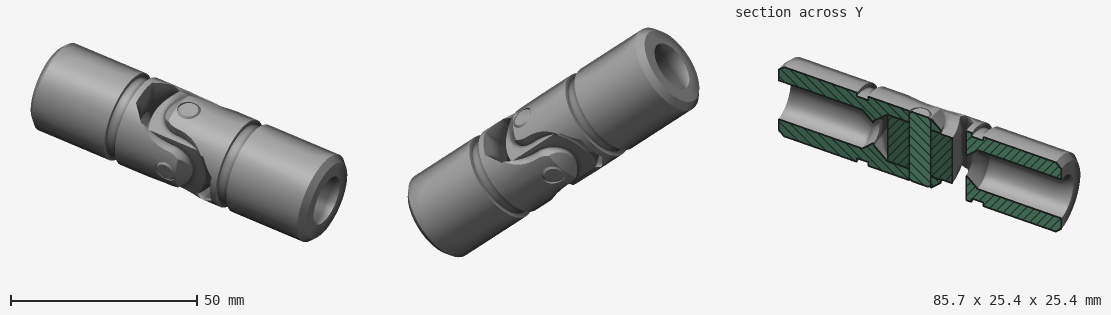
import cadquery as cq
import math

length = 85.7
outer_dia = 25.4
outer_radius = outer_dia / 2
half_length = length / 2

end_chamfer = 1.7
groove_dia = 22.7
groove_start = 15.7
groove_width = 3.35
bore_dia = 14.0
bore_mouth_dia = 6.95

slot_floor = 14.0
slot_floor_half = 4.4
arm_radius = outer_radius / 2
flank_radius = 15.0
tip_chamfer = 3.1

block_side = 16.6
block_half = block_side / 2
block_length = 19.55
block_chamfer_angle = 30.0

pin_dia = 6.35
pin_chamfer = 0.7

AXIS_START = (0, 0, 0)
AXIS_END = (1, 0, 0)


def revolve_about_x(profile):
    return profile.revolve(360, AXIS_START, AXIS_END)


def cylinder_z(diameter, height):
    return cq.Workplane("XY").circle(diameter / 2).extrude(height / 2, both=True)


def make_yoke_blank():
    """Turned bar with a grooved shank, ending in a bevelled tip past the joint centre."""
    groove_end = groove_start + groove_width
    groove_radius = groove_dia / 2
    return revolve_about_x(
        cq.Workplane("XY")
        .moveTo(-half_length, 0)
        .lineTo(-half_length, outer_radius - end_chamfer)
        .lineTo(-half_length + end_chamfer, outer_radius)
        .lineTo(-groove_end, outer_radius)
        .lineTo(-groove_end, groove_radius)
        .lineTo(-groove_start, groove_radius)
        .lineTo(-groove_start, outer_radius)
        .lineTo(arm_radius - tip_chamfer, outer_radius)
        .lineTo(arm_radius, outer_radius - tip_chamfer)
        .lineTo(arm_radius, 0)
        .close()
    )


def make_bore():
    """Shaft bore with a 45 degree conical bottom that opens into the slot."""
    bore_radius = bore_dia / 2
    mouth_radius = bore_mouth_dia / 2
    cone_length = bore_radius - mouth_radius
    return revolve_about_x(
        cq.Workplane("XY")
        .moveTo(-half_length, 0)
        .lineTo(-half_length, bore_radius)
        .lineTo(-slot_floor - cone_length, bore_radius)
        .lineTo(-slot_floor, mouth_radius)
        .lineTo(-slot_floor, 0)
        .close()
    )


def make_slot():
    """Gap between the fork arms, narrowing at 45 degrees to its floor."""
    taper_end = -slot_floor + block_half - slot_floor_half
    return (
        cq.Workplane("XY")
        .moveTo(-slot_floor, -slot_floor_half)
        .lineTo(taper_end, -block_half)
        .lineTo(outer_radius, -block_half)
        .lineTo(outer_radius, block_half)
        .lineTo(taper_end, block_half)
        .lineTo(-slot_floor, slot_floor_half)
        .close()
        .extrude(outer_dia, both=True)
    )


def make_arm_outline():
    """Side shape kept by the fork: a round tip flowing into concave flanks."""
    flank_rise = outer_radius - arm_radius
    flank_length = math.sqrt(flank_radius**2 - (flank_radius - flank_rise)**2)
    mid_angle = math.asin(flank_length / flank_radius) / 2
    mid_x = -flank_radius * math.sin(mid_angle)
    mid_z = arm_radius + flank_radius * (1 - math.cos(mid_angle))
    return (
        cq.Workplane("XZ")
        .moveTo(-half_length, -outer_dia)
        .lineTo(-flank_length, -outer_dia)
        .lineTo(-flank_length, -outer_radius)
        .threePointArc((mid_x, -mid_z), (0, -arm_radius))
        .threePointArc((arm_radius, 0), (0, arm_radius))
        .threePointArc((mid_x, mid_z), (-flank_length, outer_radius))
        .lineTo(-flank_length, outer_dia)
        .lineTo(-half_length, outer_dia)
        .close()
        .extrude(outer_dia, both=True)
    )


def make_yoke():
    """Yoke on the -X side, with its fork arms on +Y and -Y."""
    pin_hole = cylinder_z(pin_dia, outer_dia).rotate(AXIS_START, AXIS_END, 90)
    return (
        make_yoke_blank()
        .intersect(make_arm_outline())
        .cut(make_slot())
        .cut(make_bore())
        .cut(pin_hole)
    )


def make_cross():
    """Two pins crossing at right angles, joined as one solid."""
    pin = cylinder_z(pin_dia, outer_dia).faces("<Z or >Z").chamfer(pin_chamfer)
    return pin.union(pin.rotate(AXIS_START, AXIS_END, 90))


def make_block(cross):
    """Square block with cone-turned end corners, bored for the cross."""
    corner_radius = block_half * math.sqrt(2)
    corner_setback = (corner_radius - block_half) * math.tan(math.radians(block_chamfer_angle))
    end_x = block_length / 2
    turned_envelope = revolve_about_x(
        cq.Workplane("XY")
        .moveTo(-end_x, 0)
        .lineTo(-end_x, block_half)
        .lineTo(-end_x + corner_setback, corner_radius)
        .lineTo(end_x - corner_setback, corner_radius)
        .lineTo(end_x, block_half)
        .lineTo(end_x, 0)
        .close()
    )
    bar = cq.Workplane("XY").box(block_length, block_side, block_side)
    return bar.intersect(turned_envelope).cut(cross)


yokes = []
for turn_about_z, turn_about_x in [(0, 0), (180, 90)]:
    yoke = make_yoke().rotate(AXIS_START, (0, 0, 1), turn_about_z)
    yokes.append(yoke.rotate(AXIS_START, AXIS_END, turn_about_x))

cross = make_cross()
block = make_block(cross)

result = cq.Compound.makeCompound([
    *[yoke.solids().val() for yoke in yokes],
    block.solids().val(),
    cross.solids().val(),
])